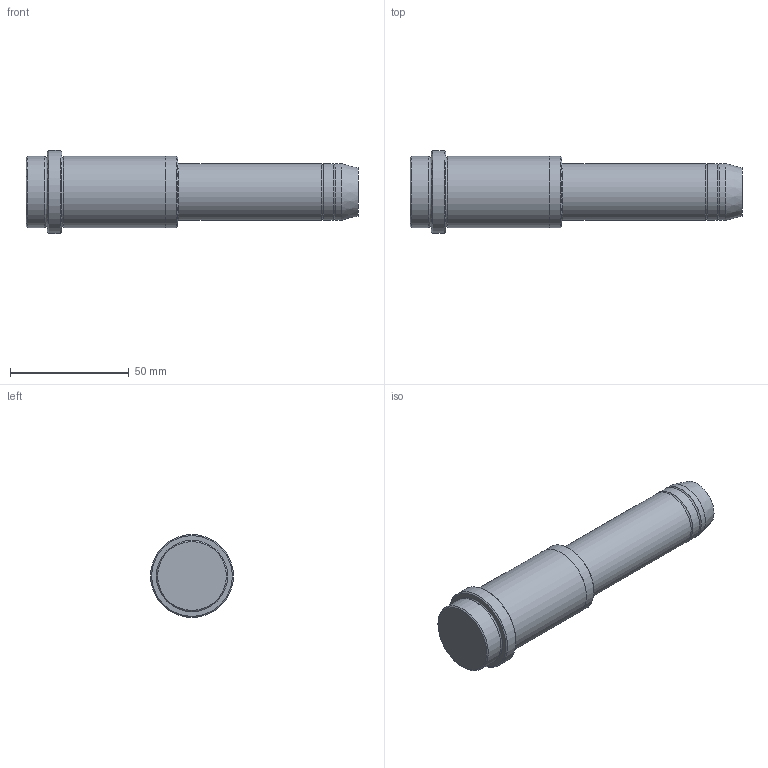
import cadquery as cq
import math

collar_start = 9.0
collar_end = 15.0
lead_start = 59.0
body_end = 64.0
oil_groove_starts = (124.5, 129.5)
taper_start = 133.0
total_length = 140.0

body_diameter = 30.0
collar_diameter = 35.0
pin_diameter = 24.0

edge_chamfer = 0.5
root_fillet = 0.5
groove_radius = 0.5
lead_clearance = 0.02
taper_angle = 15.0


def cylinder(start, end, diameter):
    """Solid cylinder on the X axis between two stations."""
    return cq.Workplane("YZ").workplane(offset=start).circle(diameter / 2).extrude(end - start)


def round_groove(start, diameter):
    """Ring of round section that cuts a half-round groove into a shaft of the given diameter."""
    section = cq.Workplane("XY").center(start + groove_radius, diameter / 2).circle(groove_radius)
    return section.revolve(360, (-1, -diameter / 2, 0), (1, -diameter / 2, 0))


def lead_sleeve():
    """Thin sleeve that takes the running clearance off the front end of the body."""
    sleeve = cylinder(lead_start, body_end, body_diameter)
    return sleeve.cut(cylinder(lead_start, body_end, body_diameter - lead_clearance))


def make_body():
    """Rear body, with a slightly smaller lead and relief grooves beside the collar."""
    body = cylinder(0, body_end, body_diameter).faces("<X or >X").chamfer(edge_chamfer)
    body = body.cut(lead_sleeve())
    for start in (collar_start - 2 * groove_radius, collar_end):
        body = body.cut(round_groove(start, body_diameter))
    return body


def make_collar():
    """Collar with both rims chamfered."""
    return cylinder(collar_start, collar_end, collar_diameter).faces("<X or >X").chamfer(edge_chamfer)


def make_pin():
    """Slim pin with a filleted root, two oil grooves and a conical nose."""
    pin_radius = pin_diameter / 2
    taper_length = total_length - taper_start
    tip_radius = pin_radius - taper_length * math.tan(math.radians(taper_angle))
    profile = (
        cq.Workplane("XY")
        .moveTo(body_end, 0)
        .lineTo(body_end, pin_radius + root_fillet)
        .radiusArc((body_end + root_fillet, pin_radius), -root_fillet)
        .lineTo(taper_start, pin_radius)
        .lineTo(total_length, tip_radius)
        .lineTo(total_length, 0)
        .close()
    )
    pin = profile.revolve(360, (0, 0, 0), (1, 0, 0))
    for start in oil_groove_starts:
        pin = pin.cut(round_groove(start, pin_diameter))
    return pin


result = make_body().union(make_collar()).union(make_pin())